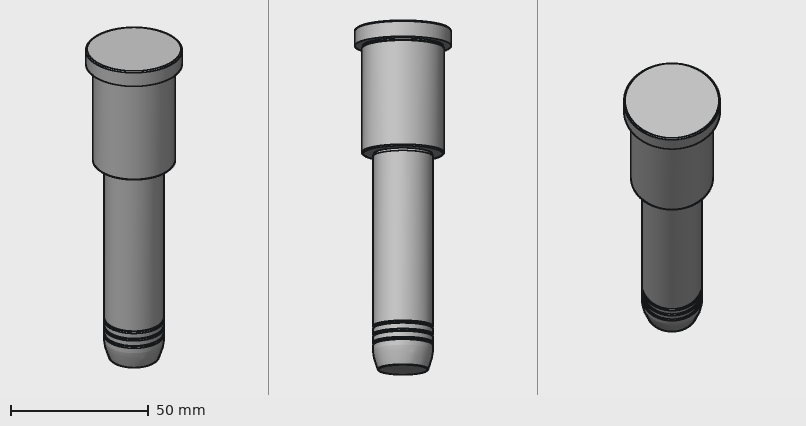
import cadquery as cq

total_length = 126.0
head_thickness = 6.0
shoulder_length = 40.0
head_bottom = total_length - head_thickness
shoulder_bottom = head_bottom - shoulder_length

head_radius = 35.0 / 2
shoulder_radius = 30.0 / 2
shank_radius = 21.9 / 2
tip_radius = 9.2

head_chamfer = 0.5
shoulder_chamfer = 0.5
relief_depth = 0.4
relief_width = 1.0

lead_in_length = 7.0
lead_in_bulge = 0.32
tip_chamfer = 0.3

groove_count = 3
groove_width = 1.0
groove_depth = 0.4
groove_pitch = 3.0
lowest_groove_bottom = 9.1


def make_body():
    """Revolve the stepped pin profile around Z."""
    shoulder_neck = shoulder_radius - relief_depth
    shank_neck = shank_radius - relief_depth
    lead_in_middle = (
        (tip_radius + shank_radius) / 2 + lead_in_bulge,
        (tip_chamfer + lead_in_length) / 2,
    )
    profile = (
        cq.Workplane("XZ")
        .lineTo(tip_radius - tip_chamfer, 0)
        .lineTo(tip_radius, tip_chamfer)
        .threePointArc(lead_in_middle, (shank_radius, lead_in_length))
        .lineTo(shank_radius, shoulder_bottom - relief_width)
        .lineTo(shank_neck, shoulder_bottom)
        .lineTo(shoulder_radius - shoulder_chamfer, shoulder_bottom)
        .lineTo(shoulder_radius, shoulder_bottom + shoulder_chamfer)
        .lineTo(shoulder_radius, head_bottom - relief_width)
        .lineTo(shoulder_neck, head_bottom - relief_width + relief_depth)
        .lineTo(shoulder_neck, head_bottom)
        .lineTo(head_radius, head_bottom)
        .lineTo(head_radius, total_length - head_chamfer)
        .lineTo(head_radius - head_chamfer, total_length)
        .lineTo(0, total_length)
        .close()
    )
    return profile.revolve(360, (0, 0, 0), (0, 1, 0))


def make_groove(bottom):
    """Ring of material removed by one V-shaped groove."""
    return (
        cq.Workplane("XZ")
        .moveTo(shank_radius, bottom)
        .lineTo(shank_radius - groove_depth, bottom + groove_width / 2)
        .lineTo(shank_radius, bottom + groove_width)
        .close()
        .revolve(360, (0, 0, 0), (0, 1, 0))
    )


result = make_body()
for index in range(groove_count):
    result = result.cut(make_groove(lowest_groove_bottom + index * groove_pitch))